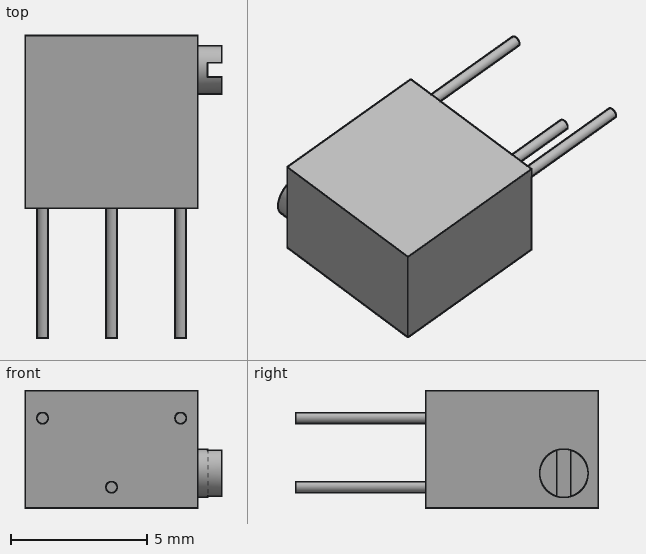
import cadquery as cq

overall_width = 7.23
overall_depth = 11.13

body_width = 6.35
body_depth = 6.35
body_height = 4.32

pin_diameter = 0.41
pin_length = overall_depth - body_depth
pin_pitch = 2.54
upper_row_z = 3.31
lower_row_z = upper_row_z - pin_pitch
middle_pin_x = body_width / 2

screw_diameter = 1.78
screw_length = overall_width - body_width
screw_y = body_depth - 1.27
screw_z = 1.28
slot_width = 0.51
slot_depth = 0.52


def make_pin(x, z):
    """Round pin running from the body face toward -Y."""
    return (
        cq.Workplane("XZ")
        .center(x, z)
        .circle(pin_diameter / 2)
        .extrude(pin_length)
    )


def make_screw():
    """Screw head with a slot running along Z across its end."""
    head = (
        cq.Workplane("YZ", origin=(body_width, screw_y, screw_z))
        .circle(screw_diameter / 2)
        .extrude(screw_length)
    )
    slot_floor_x = body_width + screw_length - slot_depth
    slot = (
        cq.Workplane("XY", origin=(slot_floor_x, screw_y, screw_z))
        .box(slot_depth, slot_width, screw_diameter, centered=(False, True, True))
    )
    return head.cut(slot)


result = cq.Workplane("XY").box(body_width, body_depth, body_height, centered=False)

pin_positions = [
    (middle_pin_x - pin_pitch, upper_row_z),
    (middle_pin_x, lower_row_z),
    (middle_pin_x + pin_pitch, upper_row_z),
]
for pin_x, pin_z in pin_positions:
    result = result.union(make_pin(pin_x, pin_z))

result = result.union(make_screw())